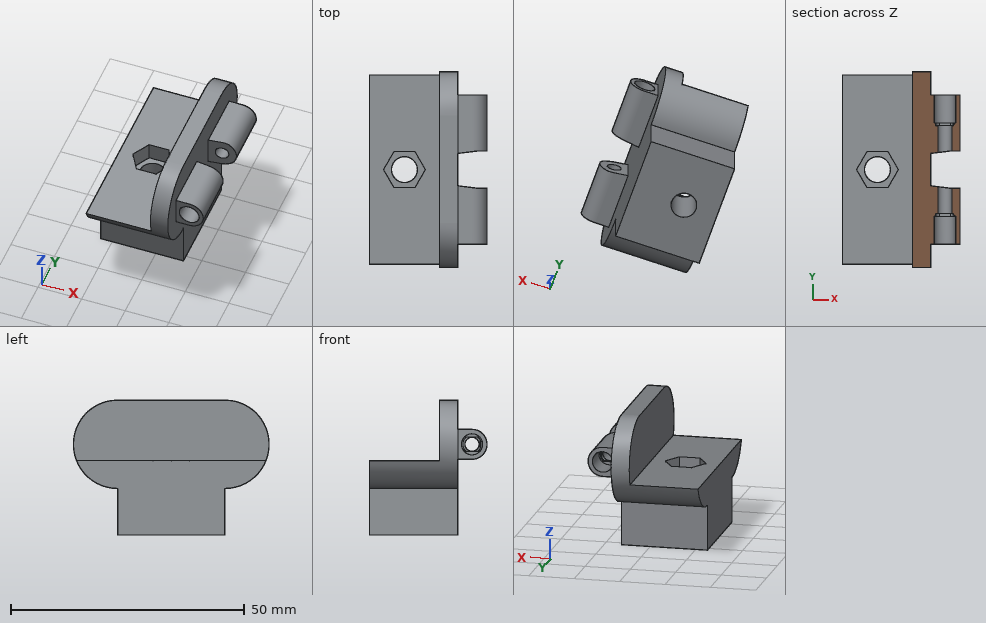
import cadquery as cq

length_y = 42.0
total_height = 29.0
body_depth = 19.0
plate_thickness = 4.0
end_radius = 9.5
shelf_top_z = 16.0
axis_z = total_height - end_radius
foot_width = length_y - 2 * end_radius
shelf_depth = body_depth - plate_thickness

bolt_x = 7.5
bolt_diameter = 5.5
nut_across_flats = 7.75
nut_across_corners = nut_across_flats / (3 ** 0.5 / 2)
nut_depth = 4.0

lug_radius = 3.25
lug_tip_x = 25.25
lug_axis_x = lug_tip_x - lug_radius
lug_outer_y = 16.05
lug_inner_y = 4.0
lug_root_inner_y = 3.45
lug_taper_end_x = 23.35

pin_diameter = 3.0
recess_diameter = 4.55
recess_depth = 6.0
slot_diameter = 3.95
slot_height = 3.15
slot_flat_offset = 1.72
step_depth = 0.3


def make_body():
    """Rounded plate, shelf in front of it and rectangular foot below."""
    body = (
        cq.Workplane("YZ")
        .center(0, axis_z)
        .slot2D(length_y, 2 * end_radius)
        .extrude(body_depth)
    )
    foot = cq.Workplane("XY").box(body_depth, foot_width, axis_z, centered=(False, True, False))
    above_shelf = (
        cq.Workplane("XY", origin=(0, 0, shelf_top_z))
        .box(shelf_depth, length_y, total_height, centered=(False, True, False))
    )
    return body.union(foot).cut(above_shelf)


def cut_bolt_hole(body):
    """Through hole with a nut pocket sunk into the shelf."""
    hole = cq.Workplane("XY").center(bolt_x, 0).circle(bolt_diameter / 2).extrude(shelf_top_z)
    pocket = (
        cq.Workplane("XY", origin=(bolt_x, 0, shelf_top_z))
        .polygon(6, nut_across_corners)
        .extrude(-nut_depth)
    )
    return body.cut(hole).cut(pocket)


def bore_plane(depth):
    """Plane across the pin axis, at a depth below the outer lug face; extrudes inwards."""
    return cq.Workplane("XZ", origin=(lug_axis_x, -lug_outer_y + depth, axis_z))


def make_bore():
    """Round recess, flat-sided slot, slot with one closed side, then the pin hole."""
    pin_hole = bore_plane(0).circle(pin_diameter / 2).extrude(-lug_outer_y)
    recess = bore_plane(0).circle(recess_diameter / 2).extrude(-recess_depth)
    slot_depth = 2 * step_depth
    slot = bore_plane(recess_depth).circle(slot_diameter / 2).extrude(-slot_depth)
    slot = slot.intersect(bore_plane(recess_depth).rect(slot_diameter, slot_height).extrude(-slot_depth))
    closed_side = (
        bore_plane(recess_depth + step_depth)
        .center(slot_flat_offset + slot_diameter / 2, 0)
        .rect(slot_diameter, slot_height)
        .extrude(-step_depth)
    )
    return pin_hole.union(recess).union(slot.cut(closed_side))


def make_lug():
    """Lug on the -Y side: round tip and an inner face that widens towards the plate."""
    side_profile = (
        cq.Workplane("XZ", origin=(0, 0, axis_z))
        .moveTo(shelf_depth, -lug_radius)
        .lineTo(lug_axis_x, -lug_radius)
        .threePointArc((lug_tip_x, 0), (lug_axis_x, lug_radius))
        .lineTo(shelf_depth, lug_radius)
        .close()
        .extrude(lug_outer_y)
    )
    plan_profile = (
        cq.Workplane("XY")
        .moveTo(body_depth, -lug_outer_y)
        .lineTo(lug_tip_x, -lug_outer_y)
        .lineTo(lug_tip_x, -lug_inner_y)
        .lineTo(lug_taper_end_x, -lug_inner_y)
        .lineTo(body_depth, -lug_root_inner_y)
        .close()
        .extrude(total_height)
    )
    return side_profile.intersect(plan_profile).cut(make_bore())


body = cut_bolt_hole(make_body())
lug = make_lug()
result = body.union(lug).union(lug.mirror("XZ"))